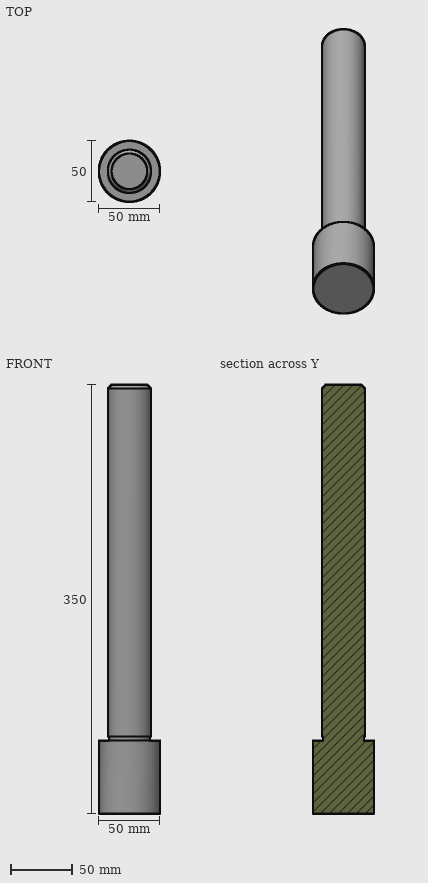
import cadquery as cq

total_length = 350.0
head_diameter = 50.0
head_length = 60.0
head_chamfer = 0.52
shank_diameter = 35.5
tip_chamfer = 3.0
neck_diameter = 33.5
neck_length = 3.0

head_radius = head_diameter / 2
shank_radius = shank_diameter / 2

head = cq.Workplane("XY").circle(head_radius).extrude(head_length).faces("<Z").chamfer(head_chamfer)

neck = (
    cq.Workplane("XY")
    .workplane(offset=head_length)
    .circle(neck_diameter / 2)
    .extrude(neck_length)
)

shank_start = head_length + neck_length
shank = (
    cq.Workplane("XY")
    .workplane(offset=shank_start)
    .circle(shank_radius)
    .extrude(total_length - shank_start)
    .faces(">Z")
    .chamfer(tip_chamfer)
)

result = head.union(neck).union(shank)